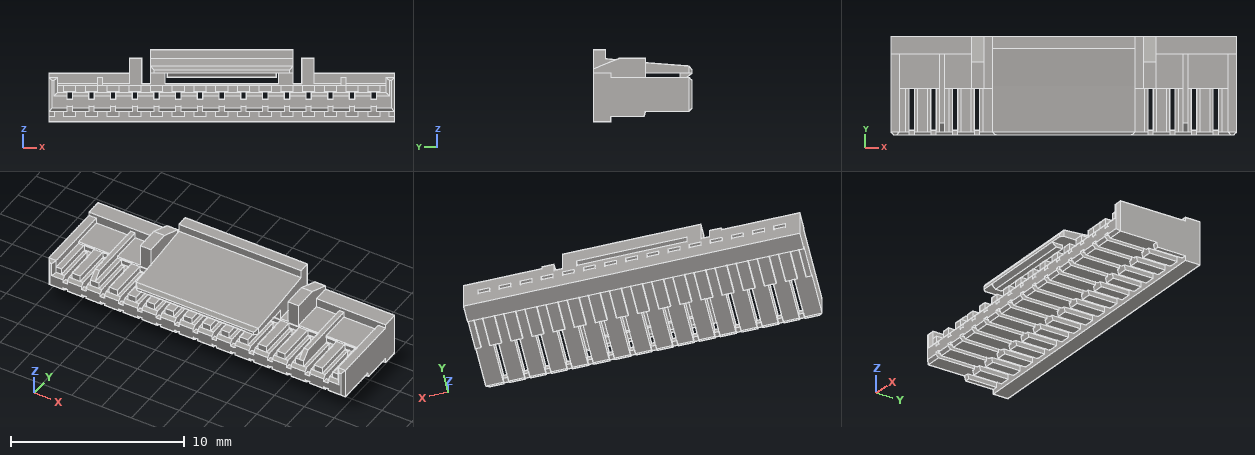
import cadquery as cq
LENGTH = 19.9
DEPTH = 5.7
HEIGHT = 4.15
EDGE_CHAMFER = 0.19

CONTACTS = 15
CONTACT_SPAN = 17.5
PITCH = CONTACT_SPAN / (CONTACTS - 1)
SLOT_WIDTH = 0.3
GROOVE_WIDTH = 0.7

PAD_BOTTOM = 0.3
FLOOR_BOTTOM = 0.6
BRIDGE_BOTTOM = 0.9
BRIDGE_TOP = 1.31
FLOOR_TOP = 1.7
PASSAGE_TOP = 1.73
RIB_TOP = 2.09
DECK_TOP = 2.2
WALL_TOP = 2.57
FLANGE_TOP = 2.8

FLANGE_FRONT = DEPTH - 1.01
DECK_FRONT = DEPTH - 3.0
BRIDGE_DEPTH = 0.3
DECK_OVERHANG = 0.04
GROOVE_BACK = DECK_FRONT + DECK_OVERHANG
PAD_UNDERCUT = 0.08

WALL_WIDTH = 0.5
KEY_WIDTH = 0.3
KEY_SLOPE_START = 0.7
END_PAD_WIDTH = 0.34

POST_INNER = 4.6
POST_OUTER = 5.31
POST_TOP = 3.66
POST_BACK_TOP = 3.05
POST_SLOPE_START = DEPTH - 1.5

LATCH_HALF = 4.1
LATCH_BAR_FRONT = DEPTH - 0.72
LATCH_BEND = DEPTH - 2.89
LATCH_BAR_FOOT = 3.65
LATCH_BEND_TOP = 3.42
LATCH_TIP_TOP = 3.22
LATCH_NOSE_TOP = 2.98
LATCH_BOTTOM = FLANGE_TOP
LEG_WIDTH = 0.84
LEG_FRONT = DECK_FRONT
HOOK_HALF = 3.15
HOOK_BOTTOM = 2.57
HOOK_BACK = 0.72
HOOK_FOOT = 0.3

HALF = LENGTH / 2
INNER_HALF = HALF - WALL_WIDTH
CONTACT_X = [(i - (CONTACTS - 1) / 2) * PITCH for i in range(CONTACTS)]


def block(x0, x1, y0, y1, z0, z1):
    """Axis-aligned box between opposite corners."""
    return cq.Workplane("XY").box(x1 - x0, y1 - y0, z1 - z0, centered=False).translate((x0, y0, z0))


def prism(x0, x1, yz_points):
    """Closed YZ outline extruded from x0 to x1."""
    return cq.Workplane("YZ").polyline(yz_points).close().extrude(x1 - x0).translate((x0, 0, 0))


def both_sides(solid):
    """Solid joined with its mirror image across the YZ plane."""
    return solid.union(solid.mirror("YZ"))


def tray():
    """Floor and two end walls, bevelled all around the mating face."""
    body = block(-HALF, HALF, 0, DEPTH, FLOOR_BOTTOM, WALL_TOP)
    body = body.cut(block(-INNER_HALF, INNER_HALF, 0, DEPTH, FLOOR_TOP, WALL_TOP))
    return body.faces("<Y").edges().chamfer(EDGE_CHAMFER)


def back_section():
    """Deck over the contact passages, with the taller flange outside the posts."""
    deck = block(-HALF, HALF, FLANGE_FRONT, DEPTH, 0, DECK_TOP)
    deck = deck.union(block(-INNER_HALF, INNER_HALF, DECK_FRONT, DEPTH, FLOOR_BOTTOM, DECK_TOP))
    flange = both_sides(block(POST_INNER, HALF, FLANGE_FRONT, DEPTH, 0, FLANGE_TOP))
    return deck.union(flange)


def pads():
    """Undercut pads below the floor: one per contact and a narrow one at each end."""
    profile = [
        (DECK_FRONT, FLOOR_BOTTOM),
        (DECK_FRONT + PAD_UNDERCUT, PAD_BOTTOM),
        (DEPTH, PAD_BOTTOM),
        (DEPTH, FLOOR_BOTTOM),
    ]
    row = both_sides(prism(HALF - END_PAD_WIDTH, HALF, profile))
    for x in CONTACT_X:
        row = row.union(prism(x - GROOVE_WIDTH / 2, x + GROOVE_WIDTH / 2, profile))
    return row


def rib_layer():
    """Solid layer on the floor that the grooves divide into ribs."""
    return block(-INNER_HALF, INNER_HALF, EDGE_CHAMFER, DECK_FRONT, FLOOR_TOP, RIB_TOP)


def contact_cutter():
    """Everything removed at one contact position, centred on X = 0."""
    half_slot = SLOT_WIDTH / 2
    half_groove = GROOVE_WIDTH / 2
    groove = block(-half_groove, half_groove, 0, GROOVE_BACK, FLOOR_TOP, RIB_TOP)
    slot = block(-half_slot, half_slot, BRIDGE_DEPTH, DECK_FRONT, 0, RIB_TOP)
    above_bridge = block(-half_slot, half_slot, 0, BRIDGE_DEPTH, BRIDGE_TOP, RIB_TOP)
    below_bridge = block(-half_slot, half_slot, 0, BRIDGE_DEPTH, 0, BRIDGE_BOTTOM)
    passage = block(-half_groove, half_groove, DECK_FRONT, DEPTH, BRIDGE_TOP, PASSAGE_TOP)
    return groove.union(slot).union(above_bridge).union(below_bridge).union(passage)


def keys():
    """Guide keys along the outer edge of the second rib from each end."""
    outer_x = CONTACT_X[-2] - GROOVE_WIDTH / 2
    profile = [
        (EDGE_CHAMFER, RIB_TOP),
        (KEY_SLOPE_START, WALL_TOP),
        (FLANGE_FRONT, WALL_TOP),
        (FLANGE_FRONT, FLOOR_TOP),
        (EDGE_CHAMFER, FLOOR_TOP),
    ]
    return both_sides(prism(outer_x - KEY_WIDTH, outer_x, profile))


def posts():
    """Guard posts beside the latch, sloping down to the back."""
    profile = [
        (DECK_FRONT, RIB_TOP),
        (DECK_FRONT, POST_TOP),
        (POST_SLOPE_START, POST_TOP),
        (DEPTH, POST_BACK_TOP),
        (DEPTH, RIB_TOP),
    ]
    return both_sides(prism(POST_INNER, POST_OUTER, profile))


def latch():
    """Tapered latch plate with a press bar, a hook under its tip and two legs."""
    plate = prism(-LATCH_HALF, LATCH_HALF, [
        (0, LATCH_BOTTOM),
        (0, LATCH_NOSE_TOP),
        (EDGE_CHAMFER, LATCH_TIP_TOP),
        (LATCH_BEND, LATCH_BEND_TOP),
        (LATCH_BAR_FRONT, LATCH_BAR_FOOT),
        (LATCH_BAR_FRONT, HEIGHT),
        (DEPTH, HEIGHT),
        (DEPTH, LATCH_BOTTOM),
    ])
    corner = (
        cq.Workplane("XY")
        .polyline([(LATCH_HALF, 0), (LATCH_HALF, EDGE_CHAMFER), (LATCH_HALF - EDGE_CHAMFER, 0)])
        .close()
        .extrude(HEIGHT)
    )
    hook = prism(-HOOK_HALF, HOOK_HALF, [
        (0, LATCH_BOTTOM),
        (HOOK_FOOT, HOOK_BOTTOM),
        (HOOK_BACK, HOOK_BOTTOM),
        (HOOK_BACK, LATCH_BOTTOM),
    ])
    legs = both_sides(block(LATCH_HALF - LEG_WIDTH, LATCH_HALF, LEG_FRONT, DEPTH, RIB_TOP, LATCH_BOTTOM))
    return plate.cut(both_sides(corner)).union(hook).union(legs)


housing = tray().union(back_section()).union(pads()).union(rib_layer())
cutter = contact_cutter()
for contact_x in CONTACT_X:
    housing = housing.cut(cutter.translate((contact_x, 0, 0)))
result = housing.union(keys()).union(posts()).union(latch())